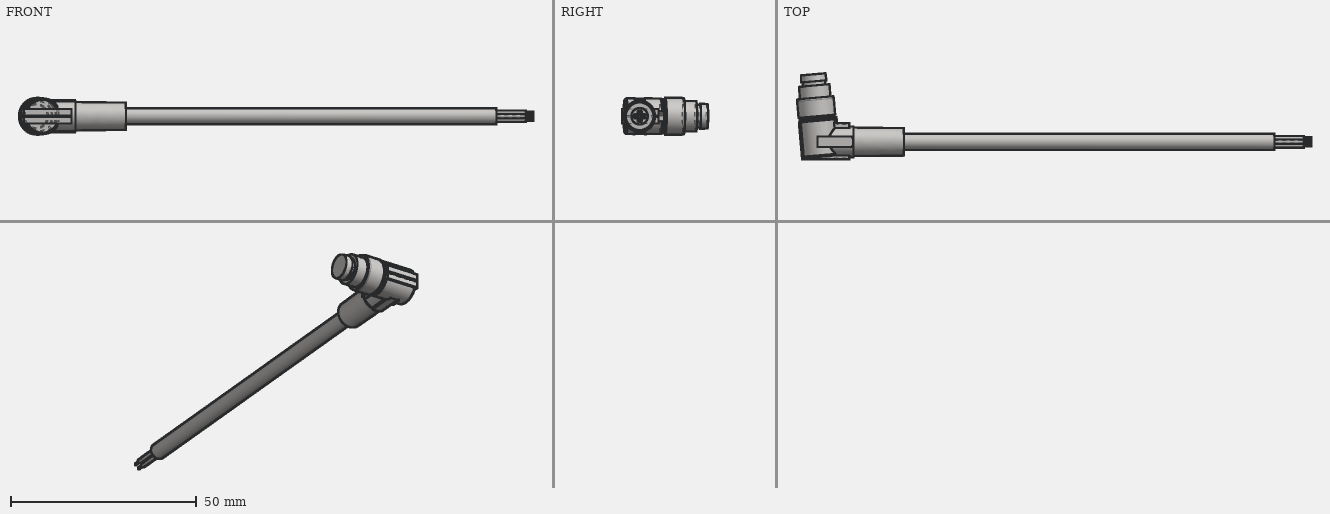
import cadquery as cq
import math

overall_length = 138.6
plug_tilt = 5.0

body_bottom = -4.0
body_chamfer = 0.4
body_top = 5.7
rim_start = 6.1
rim_end = 6.5
nut_start = 7.0
nut_end = 11.9
nut_chamfer_length = 0.5
nut_chamfer_depth = 0.1
sleeve_end = 15.2
neck_end = 16.4
tip_end = 18.3

nut_radius = 5.0
body_radius = 4.9
body_groove_radius = 3.9
nut_groove_radius = 4.5
rim_radius = 4.7
sleeve_radius = 4.2
neck_radius = 3.0
tip_base_radius = 3.5
tip_end_radius = 3.3

arm_radius = 4.2
arm_end = 9.3
relief_end = 22.9
relief_start_radius = 3.9
relief_end_radius = 3.7
cable_radius = 2.2
wire_count = 4
wire_radius = 0.62
wire_offset = 1.0
conductor_radius = 0.3
wire_length = 7.9
conductor_length = 2.1

rib_width = 3.9
rib_slot_width = 0.4
rib_slot_depth = 0.4
rib_bottom = -4.7
rib_top = 5.1
rib_end = 8.2
rib_back = 5.0
nub_width = 2.8
nub_reach = 5.3
nub_top = 6.2
pad_width = 2.8
pad_start = -0.4
pad_end = 9.1
pad_height = 4.5
pad_corner = 0.4

tilt = math.radians(plug_tilt)
heel = -rib_back * math.cos(tilt) - rib_bottom * math.sin(tilt)
rear_face = -(nut_end - nut_chamfer_length) * math.sin(tilt) - nut_radius * math.cos(tilt)
lead_end = overall_length + rear_face
insulation_end = lead_end - conductor_length
cable_end = insulation_end - wire_length


def rod(start, end, radius, y=0.0, z=0.0):
    """Cylinder parallel to X."""
    return cq.Workplane("YZ", origin=(start, y, z)).circle(radius).extrude(end - start)


def block(x_range, y_range, z_range):
    """Box given by its limits on each axis."""
    sizes = [high - low for low, high in (x_range, y_range, z_range)]
    corner = (x_range[0], y_range[0], z_range[0])
    return cq.Workplane("XY").box(*sizes, centered=False).translate(corner)


def tilted(shape):
    """Lean an upright shape by the plug tilt about the cable axis crossing."""
    return shape.rotate((0, 0, 0), (0, 0, 1), plug_tilt)


def make_plug():
    profile = [
        (0, body_bottom),
        (body_radius - body_chamfer, body_bottom),
        (body_radius, body_bottom + body_chamfer),
        (body_radius, body_top),
        (body_groove_radius, body_top),
        (body_groove_radius, rim_start),
        (rim_radius, rim_start),
        (rim_radius, rim_end),
        (nut_groove_radius, rim_end),
        (nut_groove_radius, nut_start),
        (nut_radius, nut_start),
        (nut_radius, nut_end - nut_chamfer_length),
        (nut_radius - nut_chamfer_depth, nut_end),
        (sleeve_radius, nut_end),
        (sleeve_radius, sleeve_end),
        (neck_radius, sleeve_end),
        (neck_radius, neck_end),
        (tip_base_radius, neck_end),
        (tip_end_radius, tip_end),
        (0, tip_end),
    ]
    plug = cq.Workplane("XY").polyline(profile).close().revolve(360, (0, 0), (0, 1))
    return tilted(plug)


def make_strain_relief():
    profile = [
        (arm_end, 0),
        (arm_end, relief_start_radius),
        (relief_end, relief_end_radius),
        (relief_end, 0),
    ]
    return cq.Workplane("XY").polyline(profile).close().revolve(360, (0, 0), (1, 0))


def make_plug_nub():
    """Nub that bridges the groove above the body on the arm side."""
    return tilted(block((0, nub_reach), (0, nub_top), (-nub_width / 2, nub_width / 2)))


def make_elbow_ribs():
    """Bars along both sides of the arm and up the back of the body."""
    z_range = (-rib_width / 2, rib_width / 2)
    lower = block((heel, rib_end), (rib_bottom, 0), z_range)
    upper = block((0, rib_end), (0, rib_top), z_range)
    back = tilted(block((-rib_back, 0), (body_bottom, body_top), z_range))
    return lower.union(upper).union(back)


def make_rib_slots():
    """Narrow slots down the middle of the outer rib faces."""
    z_range = (-rib_slot_width / 2, rib_slot_width / 2)
    lower = block((heel, rib_end), (rib_bottom, rib_bottom + rib_slot_depth), z_range)
    upper = block((body_radius, rib_end), (rib_top - rib_slot_depth, rib_top), z_range)
    back = tilted(block((-rib_back, rib_slot_depth - rib_back), (rib_bottom, body_top), z_range))
    return lower.union(upper).union(back)


def make_pads():
    """Flat pads standing on the arm, on its +Z and -Z faces."""
    return (
        block((pad_start, pad_end), (-pad_width / 2, pad_width / 2), (-pad_height, pad_height))
        .edges("|Z and >X")
        .chamfer(pad_corner)
    )


def make_pad_recesses():
    """Clearance that carries the flat of each pad into the round body."""
    y_range = (-pad_width / 2, pad_width / 2)
    upper = block((pad_start, body_radius), y_range, (pad_height, body_radius))
    return upper.union(upper.mirror("XY"))


def make_cable():
    cable = rod(relief_end, cable_end, cable_radius)
    for index in range(wire_count):
        angle = 2 * math.pi * index / wire_count
        y = wire_offset * math.cos(angle)
        z = wire_offset * math.sin(angle)
        cable = cable.union(rod(cable_end, insulation_end, wire_radius, y, z))
        cable = cable.union(rod(insulation_end, lead_end, conductor_radius, y, z))
    return cable


elbow = make_plug().union(rod(0, arm_end, arm_radius))
elbow = elbow.union(make_plug_nub()).union(make_elbow_ribs())
elbow = elbow.union(make_pads()).cut(make_rib_slots()).cut(make_pad_recesses())
result = elbow.union(make_strain_relief()).union(make_cable())